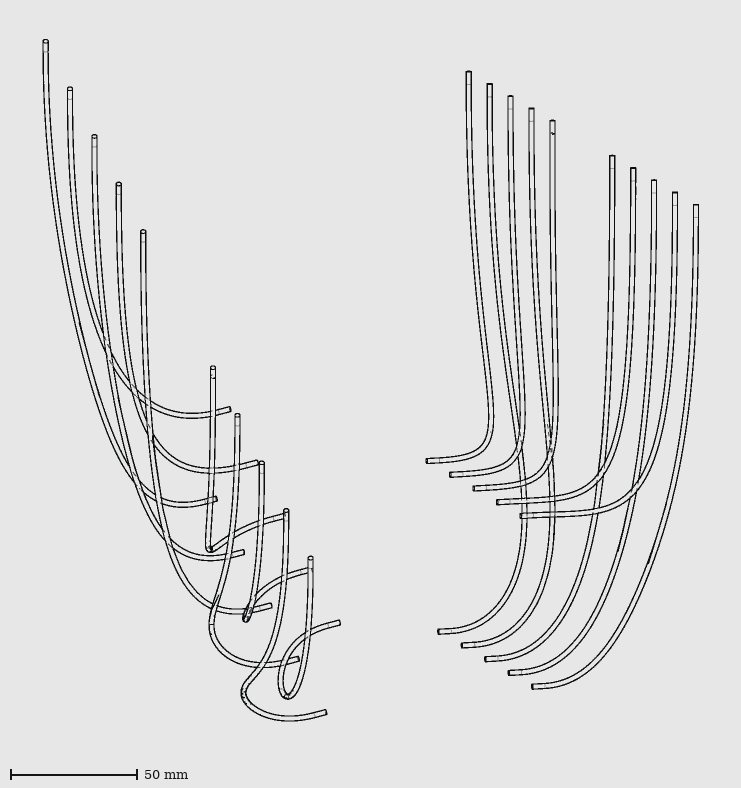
import cadquery as cq

rod_radius = 1.04
stub_length = 5.0
rods_per_side = 5

top_reach = 152.055
top_pitch = 28.0
lower_pitch = 15.7
end_reach = 45.0
short_depth = 138.5
long_depth = 204.4

late_bend_rod = rods_per_side
hold_depth = 59.0

rod_count = 2 * rods_per_side


def upper_end_x(index):
    """X of a rod's upper end; the two sides mirror each other."""
    if index < rods_per_side:
        return -top_reach + index * top_pitch
    return top_reach - (rod_count - 1 - index) * top_pitch


def lower_end_x(index):
    """X of a rod's lower end; the ends form one evenly spaced row."""
    return (index - rods_per_side) * lower_pitch


def bent_rod(index):
    """Rod that runs down from its upper end, bends sideways and leaves along +Y."""
    start_x = upper_end_x(index)
    end_x = lower_end_x(index)
    is_long = index % 2 == 0
    depth = long_depth if is_long else short_depth

    top = cq.Vector(start_x, 0, 0)
    bend_start = cq.Vector(start_x, 0, -stub_length)
    bend_end = cq.Vector(end_x, end_reach - stub_length, -depth)
    tip = cq.Vector(end_x, end_reach, -depth)

    controls = [bend_start]
    if index == late_bend_rod:
        controls.append(cq.Vector(start_x, 0, -hold_depth))
    controls.append(cq.Vector(start_x, 0, -short_depth))
    controls.append(cq.Vector(end_x, 0, -short_depth))
    if is_long:
        controls.append(cq.Vector(end_x, 0, -long_depth))
    controls.append(bend_end)

    path = cq.Wire.assembleEdges([
        cq.Edge.makeLine(top, bend_start),
        cq.Edge.makeBezier(controls),
        cq.Edge.makeLine(bend_end, tip),
    ])
    return cq.Workplane("XY", origin=top.toTuple()).circle(rod_radius).sweep(path, isFrenet=True)


rods = [bent_rod(index) for index in range(rod_count)]

result = cq.Compound.makeCompound([rod.val() for rod in rods])